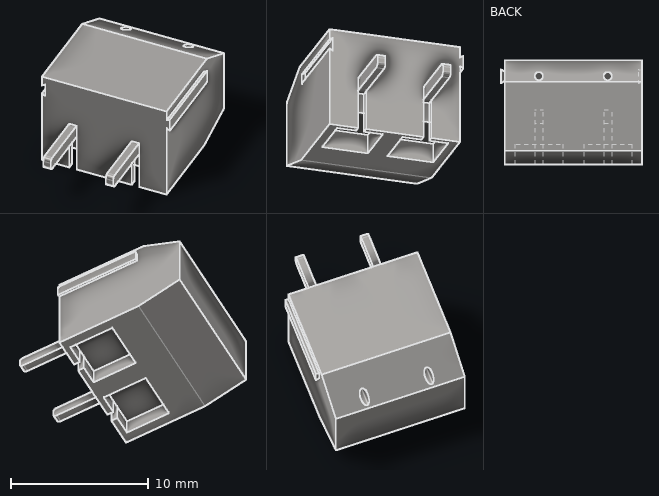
import cadquery as cq

pitch = 5.0
width = 10.0
depth = 10.0
height = 7.6
top_slope_run = 3.0
top_slope_drop = 1.57
bottom_slope_run = 3.42
bottom_slope_rise = 1.0
pole_centres = [(width - pitch) / 2, (width + pitch) / 2]

dovetail_length = 6.47
dovetail_thickness = 0.26
dovetail_neck = 0.73
dovetail_flare = 1.02
dovetail_z = height - 1.18

pin_width = 0.6
pin_height = 1.0
pin_length = 14.51 - depth
pin_bottom = 3.0
pin_tip_radius = 0.3

slot_depth = 0.5
pocket_side = 3.5
pocket_depth = 1.48

small_hole_diameter = 0.6
small_hole_z = 6.44
small_hole_depth = 3.0


def make_housing():
    profile = [
        (0, 0),
        (depth - bottom_slope_run, 0),
        (depth, bottom_slope_rise),
        (depth, height - top_slope_drop),
        (depth - top_slope_run, height),
        (0, height),
    ]
    return cq.Workplane("YZ").polyline(profile).close().extrude(width)


def make_dovetail(root_x):
    """Bar that widens toward +X, running back from the front face."""
    outer_x = root_x + dovetail_thickness
    profile = [
        (root_x, dovetail_z - dovetail_neck / 2),
        (outer_x, dovetail_z - dovetail_flare / 2),
        (outer_x, dovetail_z + dovetail_flare / 2),
        (root_x, dovetail_z + dovetail_neck / 2),
    ]
    return cq.Workplane("XZ").polyline(profile).close().extrude(-dovetail_length)


def make_pin(centre_x):
    corner = (centre_x - pin_width / 2, -pin_length, pin_bottom)
    pin = cq.Workplane("XY").box(pin_width, pin_length + slot_depth, pin_height, centered=False)
    return pin.faces("<Y").edges("|X").fillet(pin_tip_radius).translate(corner)


def make_slot(centre_x):
    slot = cq.Workplane("XY").box(pin_width, slot_depth, pin_bottom, centered=False)
    return slot.translate((centre_x - pin_width / 2, 0, 0))


def make_pocket(centre_x):
    pocket = cq.Workplane("XY").box(pocket_side, pocket_side, pocket_depth, centered=False)
    return pocket.translate((centre_x - pocket_side / 2, slot_depth, 0))


def make_small_hole(centre_x):
    start = cq.Workplane("XZ", origin=(centre_x, depth, small_hole_z))
    return start.circle(small_hole_diameter / 2).extrude(small_hole_depth)


result = make_housing().cut(make_dovetail(0)).union(make_dovetail(width))

for pole_x in pole_centres:
    result = result.cut(make_slot(pole_x))
    result = result.cut(make_pocket(pole_x))
    result = result.cut(make_small_hole(pole_x))
    result = result.union(make_pin(pole_x))